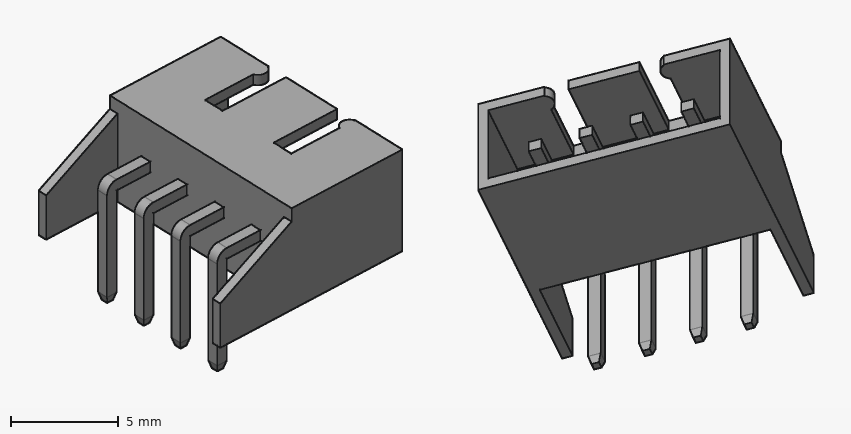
import cadquery as cq

HOUSING_WIDTH = 12.4
HOUSING_DEPTH = 6.99
HOUSING_HEIGHT = 5.75

SLOT_DEPTH = 4.0
CAVITY_DEPTH = SLOT_DEPTH
SIDE_WALL = 0.5
TOP_WALL = 0.6
FLOOR_WALL = TOP_WALL

TONGUE_WIDTH = 3.5
SLOT_WIDTH = 1.19
LATCH_RADIUS = 0.5
LATCH_PROJECTION = 0.31

WING_LENGTH = 4.5
WING_THICKNESS = 0.52
WING_ROOT_HEIGHT = 5.0
WING_END_HEIGHT = 2.5

PIN_COUNT = 4
PIN_PITCH = 2.5
PIN_SIZE = 0.62
PIN_TOP = 3.42
PIN_REAR = -2.73
PIN_BOTTOM = -3.4
BEND_RADIUS = PIN_SIZE
TIP_LENGTH = 0.46
TIP_SIZE = 0.37
PIN_SETBACK = 0.99
PIN_FRONT = HOUSING_DEPTH - PIN_SETBACK


def block(x_range, y_range, z_range):
    """Axis-aligned box spanning the three given ranges."""
    (x0, x1), (y0, y1), (z0, z1) = x_range, y_range, z_range
    return cq.Workplane("XY").box(x1 - x0, y1 - y0, z1 - z0, centered=False).translate((x0, y0, z0))


def make_shell():
    """Rectangular housing hollowed out from its mouth."""
    half_width = HOUSING_WIDTH / 2
    inner_half_width = half_width - SIDE_WALL
    outside = block((-half_width, half_width), (0, HOUSING_DEPTH), (0, HOUSING_HEIGHT))
    cavity = block(
        (-inner_half_width, inner_half_width),
        (HOUSING_DEPTH - CAVITY_DEPTH, HOUSING_DEPTH),
        (FLOOR_WALL, HOUSING_HEIGHT - TOP_WALL),
    )
    return outside.cut(cavity)


def make_slot(side):
    """Cutter for one latch slot, less the round latch bump on its outer edge at the mouth."""
    underside = HOUSING_HEIGHT - TOP_WALL
    slot_centre = TONGUE_WIDTH / 2 + SLOT_WIDTH / 2
    slot_edge = TONGUE_WIDTH / 2 + SLOT_WIDTH
    bump_centre = slot_edge - LATCH_PROJECTION + LATCH_RADIUS
    slot = (
        cq.Workplane("XY", origin=(0, 0, underside))
        .center(side * slot_centre, HOUSING_DEPTH - SLOT_DEPTH / 2)
        .rect(SLOT_WIDTH, SLOT_DEPTH)
        .extrude(TOP_WALL)
    )
    bump = (
        cq.Workplane("XY", origin=(0, 0, underside))
        .center(side * bump_centre, HOUSING_DEPTH - LATCH_RADIUS)
        .circle(LATCH_RADIUS)
        .extrude(TOP_WALL)
    )
    return slot.cut(bump)


def make_wing(side):
    """Sloped plate continuing one side wall behind the housing."""
    wing_centre = HOUSING_WIDTH / 2 - WING_THICKNESS / 2
    return (
        cq.Workplane("YZ", origin=(side * wing_centre, 0, 0))
        .polyline([(0, 0), (-WING_LENGTH, 0), (-WING_LENGTH, WING_END_HEIGHT), (0, WING_ROOT_HEIGHT)])
        .close()
        .extrude(WING_THICKNESS / 2, both=True)
    )


def make_pin(x):
    """Right-angle square pin with a rounded outer bend and a tapered lower tip."""
    shoulder = PIN_BOTTOM + TIP_LENGTH
    half_size = PIN_SIZE / 2
    bent_bar = (
        cq.Workplane("YZ", origin=(x, 0, 0))
        .moveTo(PIN_FRONT, PIN_TOP)
        .lineTo(PIN_REAR + BEND_RADIUS, PIN_TOP)
        .radiusArc((PIN_REAR, PIN_TOP - BEND_RADIUS), -BEND_RADIUS)
        .lineTo(PIN_REAR, shoulder)
        .lineTo(PIN_REAR + PIN_SIZE, shoulder)
        .lineTo(PIN_REAR + PIN_SIZE, PIN_TOP - PIN_SIZE)
        .lineTo(PIN_FRONT, PIN_TOP - PIN_SIZE)
        .close()
        .extrude(half_size, both=True)
    )
    tip = (
        cq.Workplane("XY", origin=(x, PIN_REAR + half_size, shoulder))
        .rect(PIN_SIZE, PIN_SIZE)
        .workplane(offset=-TIP_LENGTH)
        .rect(TIP_SIZE, TIP_SIZE)
        .loft(ruled=True)
    )
    return bent_bar.union(tip)


def make_housing(pins):
    """Shell with latch slots, side wings and a matching square hole for each pin."""
    housing = make_shell()
    for side in (-1, 1):
        housing = housing.cut(make_slot(side)).union(make_wing(side))
    for pin in pins:
        housing = housing.cut(pin)
    return housing


pin_positions = [(i - (PIN_COUNT - 1) / 2) * PIN_PITCH for i in range(PIN_COUNT)]
pins = [make_pin(x) for x in pin_positions]
housing = make_housing(pins)

result = cq.Compound.makeCompound([housing.val(), *[pin.val() for pin in pins]])